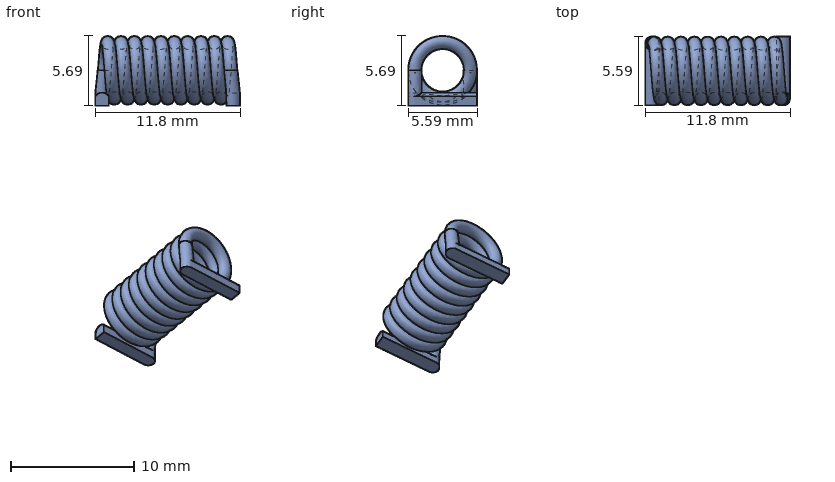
import cadquery as cq

length = 11.75
coil_diameter = 5.59
height = 5.69
wire_diameter = 1.1
coil_wire_diameter = 1.07
turns = 9.5
leg_lean = 0.19
foot_height = 1.08
foot_side_height = 0.79

wire_radius = wire_diameter / 2
coil_wire_radius = coil_wire_diameter / 2
coil_outer_radius = coil_diameter / 2
helix_radius = coil_outer_radius - coil_wire_radius
leg_center_y = coil_outer_radius - wire_radius
axis_height = height - coil_outer_radius
foot_center_x = -length / 2 + wire_radius
coil_start_x = foot_center_x + leg_lean
pitch = -2 * coil_start_x / turns


def make_coil():
    """Right-handed helix along X, starting on the +Y side at axis height."""
    path = cq.Workplane(obj=cq.Wire.makeHelix(pitch, turns * pitch, helix_radius))
    coil = cq.Workplane("XZ").center(helix_radius, 0).circle(coil_wire_radius).sweep(path, isFrenet=True)
    coil_plane = cq.Plane(origin=(coil_start_x, 0, axis_height), xDir=(0, 1, 0), normal=(1, 0, 0))
    return cq.Workplane(obj=coil.val().moved(cq.Location(coil_plane)))


def make_leg():
    """Leaning wire that joins the foot to the start of the coil."""
    return (
        cq.Workplane("XY", origin=(foot_center_x, leg_center_y, foot_height))
        .circle(wire_radius)
        .workplane(offset=axis_height - foot_height)
        .center(leg_lean, 0)
        .circle(wire_radius)
        .loft(ruled=True)
    )


def make_foot():
    """Crowned bar across the coil, with a round post under the leg."""
    bar = (
        cq.Workplane("XZ", origin=(foot_center_x, leg_center_y, 0))
        .moveTo(-wire_radius, 0)
        .lineTo(-wire_radius, foot_side_height)
        .threePointArc((0, foot_height), (wire_radius, foot_side_height))
        .lineTo(wire_radius, 0)
        .close()
        .extrude(leg_center_y + coil_outer_radius)
    )
    post = (
        cq.Workplane("XY", origin=(foot_center_x, leg_center_y, 0))
        .circle(wire_radius)
        .extrude(foot_height)
    )
    return bar.union(post)


terminal = make_foot().union(make_leg())
opposite_terminal = terminal.rotate((0, 0, 0), (0, 0, 1), 180)
result = make_coil().union(terminal).union(opposite_terminal)